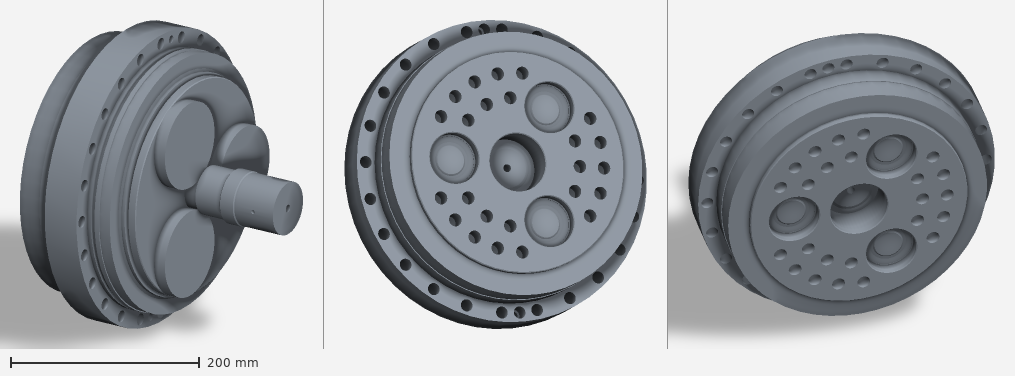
import cadquery as cq
import math


flange_diameter = 325.0
flange_start = 51.5
flange_end = 91.5

output_face_diameter = 238.0
output_face_end = 6.2
output_face_chamfer = 1.0
case_diameter = 283.5
case_end = 31.5
pilot_diameter = 285.0

front_land_end = 96.5
seal_groove_diameter = 279.5
seal_groove_end = 101.0
rear_land_end = 106.5
relief_diameter = 282.5
relief_end = 107.5
rear_case_diameter = 283.0
rear_case_end = 120.0

hub_shoulder_diameter = 249.5
hub_shoulder_end = 121.5
hub_ring_diameter = 243.8
hub_ring_end = 125.8
hub_neck_diameter = 220.0
hub_neck_end = 128.7
carrier_diameter = 238.0
carrier_end = 137.8
carrier_chamfer = 1.0

crank_count = 3
crank_circle_radius = 71.0
boss_diameter = 95.5
boss_end = 151.5

pocket_diameter = 55.0
pocket_chamfer = 1.0
pocket_depth = 12.0
pocket_seat_diameter = 52.0
pocket_seat_depth = 0.5
pocket_cone_diameter = 39.5
pocket_cone_depth = 1.3
crank_end_diameter = 33.0
crank_end_top_diameter = 30.0
crank_end_height = 1.3

bore_diameter = 62.5
bore_chamfer = 1.0
bore_depth = 36.5
bore_step_diameter = 55.0
bore_step_height = 0.5

shaft_tip_diameter = 42.2
shaft_tip_length = 1.3
shaft_tip_end = bore_depth - bore_step_height
shaft_core_diameter = 49.0
shaft_core_end = 153.0
shaft_body_diameter = 54.0
shaft_body_end = 185.0
collar_diameter = 60.0
collar_end = 203.8
collar_chamfer = 1.3
shaft_end_diameter = 58.2
shaft_end = 252.5
shaft_bore_diameter = 8.5
cross_hole_diameter = 4.5
cross_hole_position = 227.5

flange_hole_count = 24
flange_hole_diameter = 13.0
flange_hole_circle_radius = 152.5
dowel_hole_diameter = 8.5
dowel_counterbore_diameter = 13.0
dowel_counterbore_depth = 19.5

face_hole_diameter = 14.0
face_hole_depth = 19.5
drill_tip_angle = 118.0
inner_hole_circle_radius = 69.5
inner_hole_step = 23.0
outer_hole_circle_radius = 96.5
outer_hole_step = 16.5
flat_hole_angle = 240.0


def disc(diameter, start, end):
    """Solid cylinder on the X axis between two X positions."""
    return cq.Workplane("YZ").workplane(offset=start).circle(diameter / 2).extrude(end - start)


def cone(start_diameter, end_diameter, start, end):
    """Solid cone or truncated cone on the X axis; either diameter may be zero."""
    outline = cq.Workplane("XY").moveTo(start, 0)
    if start_diameter > 0:
        outline = outline.lineTo(start, start_diameter / 2)
    if end_diameter > 0:
        outline = outline.lineTo(end, end_diameter / 2)
    return outline.lineTo(end, 0).close().revolve(360, (0, 0, 0), (1, 0, 0))


def place(shape, radius, angle):
    """Move a shape from the X axis to a pitch circle; 0 degrees is -Y and 90 degrees is +Z."""
    turn = math.radians(angle)
    return shape.translate((0, -radius * math.cos(turn), radius * math.sin(turn)))


def make_body():
    body = disc(output_face_diameter, 0, output_face_end).faces("<X").chamfer(output_face_chamfer)
    carrier = disc(carrier_diameter, hub_neck_end, carrier_end).faces(">X").chamfer(carrier_chamfer)
    rings = [
        disc(case_diameter, output_face_end, case_end),
        disc(pilot_diameter, case_end, flange_start),
        disc(flange_diameter, flange_start, flange_end),
        disc(pilot_diameter, flange_end, front_land_end),
        disc(seal_groove_diameter, front_land_end, seal_groove_end),
        disc(pilot_diameter, seal_groove_end, rear_land_end),
        disc(relief_diameter, rear_land_end, relief_end),
        disc(rear_case_diameter, relief_end, rear_case_end),
        cone(hub_shoulder_diameter, hub_ring_diameter, rear_case_end, hub_shoulder_end),
        disc(hub_ring_diameter, hub_shoulder_end, hub_ring_end),
        disc(hub_neck_diameter, hub_ring_end, hub_neck_end),
        carrier,
    ]
    for ring in rings:
        body = body.union(ring)
    return body


def make_shaft():
    collar = disc(collar_diameter, shaft_body_end, collar_end).edges().chamfer(collar_chamfer)
    tip_start = shaft_tip_end - shaft_tip_length
    return (
        cone(shaft_tip_diameter, shaft_core_diameter, tip_start, shaft_tip_end)
        .union(disc(shaft_core_diameter, shaft_tip_end, shaft_core_end))
        .union(disc(shaft_body_diameter, shaft_core_end, shaft_body_end))
        .union(collar)
        .union(disc(shaft_end_diameter, collar_end, shaft_end))
    )


def make_centre_bore():
    """Chamfered bore with a low round step on its floor around the shaft tip."""
    mouth = cone(bore_diameter + 2 * bore_chamfer, bore_diameter, 0, bore_chamfer)
    step = disc(bore_step_diameter, bore_depth - bore_step_height, bore_depth)
    return disc(bore_diameter, 0, bore_depth).union(mouth).cut(step)


def make_crank_pocket():
    """Chamfered, stepped pocket whose floor has a dished ring around the raised crankshaft end."""
    mouth = cone(pocket_diameter + 2 * pocket_chamfer, pocket_diameter, 0, pocket_chamfer)
    seat_floor = pocket_depth + pocket_seat_depth
    seat = disc(pocket_seat_diameter, pocket_depth, seat_floor)
    dish_floor = seat_floor + pocket_cone_depth
    dish = cone(pocket_seat_diameter, pocket_cone_diameter, seat_floor, dish_floor)
    crank_end = cone(crank_end_top_diameter, crank_end_diameter, dish_floor - crank_end_height, dish_floor)
    return disc(pocket_diameter, 0, pocket_depth).union(mouth).union(seat).union(dish).cut(crank_end)


def make_face_holes():
    """Drilled holes on two pitch circles, grouped between the crankshaft pockets."""
    tip_depth = face_hole_diameter / 2 / math.tan(math.radians(drill_tip_angle / 2))
    flat_hole = disc(face_hole_diameter, 0, face_hole_depth)
    drill_tip = cone(face_hole_diameter, 0, face_hole_depth, face_hole_depth + tip_depth)
    drilled_hole = flat_hole.union(drill_tip)

    holes = []
    for group in range(crank_count):
        group_angle = group * 360 / crank_count
        for radius, step, reach in (
            (inner_hole_circle_radius, inner_hole_step, 1),
            (outer_hole_circle_radius, outer_hole_step, 2),
        ):
            for position in range(-reach, reach + 1):
                angle = group_angle + position * step
                tool = flat_hole if angle == flat_hole_angle else drilled_hole
                holes.append(place(tool, radius, angle))
    return holes


def make_flange_holes():
    """Bolt holes all round, plus two counterbored dowel holes midway between bolt holes."""
    spacing = 360 / flange_hole_count
    bolt_hole = disc(flange_hole_diameter, flange_start, flange_end)
    counterbore = disc(dowel_counterbore_diameter, flange_start, flange_start + dowel_counterbore_depth)
    dowel_hole = disc(dowel_hole_diameter, flange_start, flange_end).union(counterbore)

    holes = [place(bolt_hole, flange_hole_circle_radius, i * spacing) for i in range(flange_hole_count)]
    first_dowel_angle = 90 + spacing / 2
    for angle in (first_dowel_angle, first_dowel_angle + 180):
        holes.append(place(dowel_hole, flange_hole_circle_radius, angle))
    return holes


result = make_body()

crank_angles = [180 + i * 360 / crank_count for i in range(crank_count)]
boss = disc(boss_diameter, hub_neck_end, boss_end)
pocket = make_crank_pocket()
for crank_angle in crank_angles:
    result = result.union(place(boss, crank_circle_radius, crank_angle))
    result = result.cut(place(pocket, crank_circle_radius, crank_angle))

result = result.cut(make_centre_bore()).union(make_shaft())
for hole in make_face_holes() + make_flange_holes():
    result = result.cut(hole)

result = result.cut(disc(shaft_bore_diameter, 0, shaft_end))
cross_hole = (
    cq.Workplane("XZ")
    .center(cross_hole_position, 0)
    .circle(cross_hole_diameter / 2)
    .extrude(shaft_end_diameter)
)
result = result.cut(cross_hole)